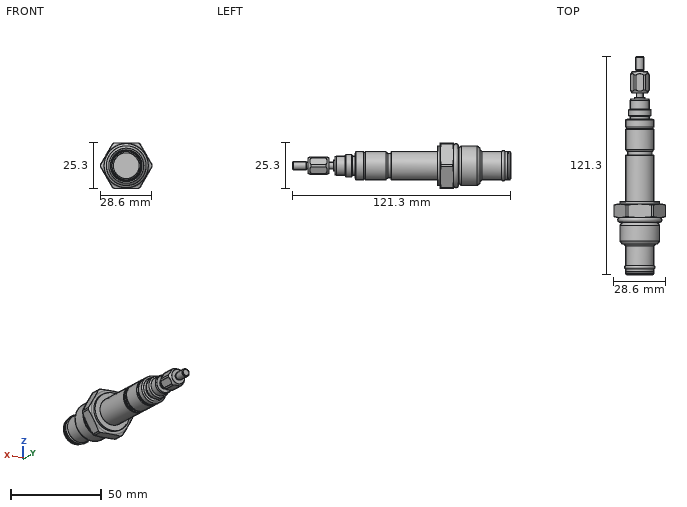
import cadquery as cq
import math


TOTAL_LENGTH = 121.3

NOSE_R = 7.9
NOSE_END_CHAMFER = 0.7
NOSE_GROOVE_Y = (1.7, 5.2)
NOSE_GROOVE_R = 6.7
NOSE_RING_SECTION_R = 0.91
BACKUP_RING_WIDTH = 1.5

SHANK_R = 11.0
NOSE_ROOT_TAPER = 1.0
LEAD_CONE_R = 9.7
LEAD_CONE_Y = 17.1
SHANK_Y = (18.8, 27.5)
PORT_GROOVE_R = 9.6
PORT_SHOULDER_R = 10.0
PORT_SHOULDER_Y = 29.0
PORT_RING_SECTION_R = 1.3

HEX_Y = (31.9, 39.3)
HEX_FLATS = 25.3
HEX_CORNERS = 28.6
HEX_CHAMFER = (0.5, 1.7)
FLANGE_END_Y = 40.8

TUBE_R = 7.9
TUBE_GROOVE_R = 6.8
TUBE_GROOVE_Y = (66.7, 68.4)
TUBE_GROOVE_CONE_Y = 69.5
TUBE_EDGE_CHAMFER = 0.4
CRIMP_GROOVE_R = 7.4
CRIMP_GROOVE_Y = (81.1, 82.0)
CRIMP_GROOVE_CONE_Y = 80.7
TUBE_END_Y = 86.5
TUBE_END_R = 6.8

COLLAR_R = 5.3
COLLAR_END_R = 5.0
COLLAR_Y = (96.8, 97.8)
BEAD_R = 6.3
BEAD_Y = (88.5, 91.6)
BEAD_CONE_LENGTH = 0.6
BOSS_R = 3.0
BOSS_END_Y = 98.6

STEM_R = 2.0
KNOB_Y = (100.9, 112.8)
KNOB_FLATS = 9.7
KNOB_CORNERS = 10.5
KNOB_CHAMFER = (1.8, 1.1)
TIP_R = 2.3
TIP_START_Y = 113.9
TIP_CHAMFER = 0.5


def turned(profile):
    """Solid of revolution about Y from (radius, y) points that start and end on the axis."""
    return cq.Workplane("XY").polyline(profile).close().revolve(360, (0, 0, 0), (0, 1, 0))


def hexagon(y_range, flats, corners, chamfer):
    """Hexagonal prism along Y with flats facing +-Z, its corners turned down and its ends coned."""
    start, end = y_range
    axial, radial = chamfer
    outer_r = corners / 2
    sharp_corners = flats / math.cos(math.pi / 6)
    prism = (
        cq.Workplane("XZ", origin=(0, start, 0))
        .polygon(6, sharp_corners)
        .extrude(start - end)
    )
    envelope = turned([
        (0, start),
        (outer_r - radial, start),
        (outer_r, start + axial),
        (outer_r, end - axial),
        (outer_r - radial, end),
        (0, end),
    ])
    return prism.intersect(envelope)


def o_ring(centre_y, centre_r, section_r):
    return (
        cq.Workplane("XY")
        .center(centre_r, centre_y)
        .circle(section_r)
        .revolve(360, (-centre_r, 0, 0), (-centre_r, 1, 0))
    )


def valve_body():
    nose_and_shank = [
        (0, 0),
        (NOSE_R - NOSE_END_CHAMFER, 0),
        (NOSE_R, NOSE_END_CHAMFER),
        (NOSE_R, NOSE_GROOVE_Y[0]),
        (NOSE_GROOVE_R, NOSE_GROOVE_Y[0]),
        (NOSE_GROOVE_R, NOSE_GROOVE_Y[1]),
        (NOSE_R, NOSE_GROOVE_Y[1]),
        (NOSE_R, LEAD_CONE_Y - NOSE_ROOT_TAPER),
        (NOSE_R + NOSE_ROOT_TAPER, LEAD_CONE_Y),
        (LEAD_CONE_R, LEAD_CONE_Y),
        (SHANK_R, SHANK_Y[0]),
        (SHANK_R, SHANK_Y[1]),
        (PORT_SHOULDER_R, PORT_SHOULDER_Y),
        (PORT_GROOVE_R, PORT_SHOULDER_Y),
        (PORT_GROOVE_R, HEX_Y[0]),
        (SHANK_R, HEX_Y[0]),
    ]
    flange_and_tube = [
        (SHANK_R, FLANGE_END_Y),
        (TUBE_R, FLANGE_END_Y),
        (TUBE_R, TUBE_GROOVE_Y[0] - TUBE_EDGE_CHAMFER),
        (TUBE_R - TUBE_EDGE_CHAMFER, TUBE_GROOVE_Y[0]),
        (TUBE_GROOVE_R, TUBE_GROOVE_Y[0]),
        (TUBE_GROOVE_R, TUBE_GROOVE_Y[1]),
        (TUBE_R, TUBE_GROOVE_CONE_Y),
        (TUBE_R, CRIMP_GROOVE_CONE_Y),
        (CRIMP_GROOVE_R, CRIMP_GROOVE_Y[0]),
        (CRIMP_GROOVE_R, CRIMP_GROOVE_Y[1]),
        (TUBE_R, CRIMP_GROOVE_Y[1]),
        (TUBE_R, TUBE_END_Y - TUBE_EDGE_CHAMFER),
        (TUBE_END_R, TUBE_END_Y),
    ]
    collar = [
        (COLLAR_R, TUBE_END_Y),
        (COLLAR_R, BEAD_Y[0] - BEAD_CONE_LENGTH),
        (BEAD_R, BEAD_Y[0]),
        (BEAD_R, BEAD_Y[1]),
        (COLLAR_R, BEAD_Y[1] + BEAD_CONE_LENGTH),
        (COLLAR_R, COLLAR_Y[0]),
        (COLLAR_END_R, COLLAR_Y[1]),
        (BOSS_R, COLLAR_Y[1]),
        (BOSS_R, BOSS_END_Y),
    ]
    stem = [
        (STEM_R, BOSS_END_Y),
        (STEM_R, TIP_START_Y - TIP_CHAMFER),
        (TIP_R, TIP_START_Y),
        (TIP_R, TOTAL_LENGTH - TIP_CHAMFER),
        (TIP_R - TIP_CHAMFER, TOTAL_LENGTH),
        (0, TOTAL_LENGTH),
    ]
    return (
        turned(nose_and_shank + flange_and_tube + collar + stem)
        .union(hexagon(HEX_Y, HEX_FLATS, HEX_CORNERS, HEX_CHAMFER))
        .union(hexagon(KNOB_Y, KNOB_FLATS, KNOB_CORNERS, KNOB_CHAMFER))
    )


def port_o_ring():
    """Ring resting on the groove floor and against the underside of the body hexagon."""
    return o_ring(HEX_Y[0] - PORT_RING_SECTION_R, PORT_GROOVE_R + PORT_RING_SECTION_R, PORT_RING_SECTION_R)


def nose_o_ring():
    """Ring resting on the groove floor and against the inner wall of the nose groove."""
    return o_ring(
        NOSE_GROOVE_Y[1] - NOSE_RING_SECTION_R, NOSE_GROOVE_R + NOSE_RING_SECTION_R, NOSE_RING_SECTION_R
    )


def backup_ring():
    """Flat ring that touches the nose O-ring and leaves a small gap to the groove's end wall."""
    top = NOSE_GROOVE_Y[1] - 2 * NOSE_RING_SECTION_R
    return (
        cq.Workplane("XZ", origin=(0, top, 0))
        .circle(NOSE_R)
        .circle(NOSE_GROOVE_R)
        .extrude(BACKUP_RING_WIDTH)
    )


result = cq.Compound.makeCompound([
    valve_body().val(),
    port_o_ring().val(),
    nose_o_ring().val(),
    backup_ring().val(),
])